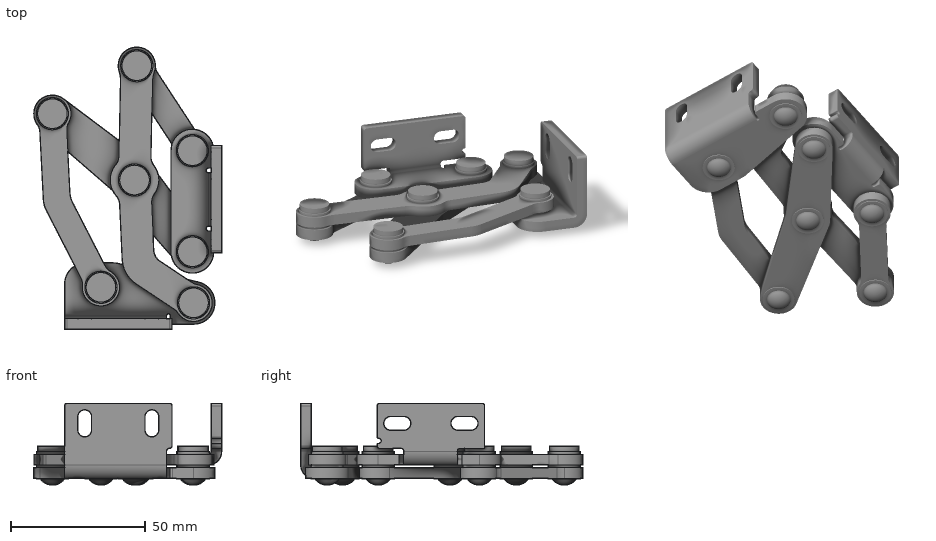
import cadquery as cq
import math


sheet = 4.0
gap = 1.0
upper_z = sheet + gap

pin_d = 8.0
collar_d = 12.0
head_d = 11.0
head_height = 2.0
end_collar_height = 0.3
dome_d = 8.8
dome_height = 2.2

end_r = 6.9
hub_r = 9.0
taper_hub_r = 8.3
slim_half_width = 5.0
wide_half_width = 6.0
tight_blend_r = 5.0
wide_blend_r = 10.0
long_elbow_outer_r = 12.0

plate_end_r = 8.0
inner_bend_r = 1.0
outer_bend_r = inner_bend_r + sheet
flange_length = 40.1
flange_top = 28.0
corner_r = 0.9
slot_length = 10.0
slot_width = 5.0
slot_spacing = 25.0
slot_z = flange_top - 7.5
relief_z = 11.1

base_bend_end = 38.1
base_relief_width = 1.3
base_relief_depth = 5.8
base_plate_top = 24.8
base_slope = math.radians(13)
base_corner_r = 0.8

side_flange_y = 28.5
side_flange_x = 58.6
side_bend_start = 9.9
side_bend_end = 29.9
side_relief_width = 1.7
side_relief_depth = 1.8
side_notch_z = 14.0
side_notch_r = 0.9
side_notch_depth = 1.5
side_notch_blend = 0.4

top_pivot = (26.9, 105.1 - end_r)
left_pivot = (-4.5, 80.3)
middle_pivot = (26.1, 55.6)
side_upper_pivot = (47.6, 66.5)
side_lower_pivot = (47.6, 28.9)
base_left_pivot = (13.6, 15.7)
base_right_pivot = (48.0, 9.9)
left_elbow = (-2.8, 47.6)
long_elbow = (27.5, 23.5)


def heading(start, end):
    """Angle in radians of the line from start to end."""
    return math.atan2(end[1] - start[1], end[0] - start[0])


def disc(center, radius, height, z=0.0):
    return cq.Workplane("XY", origin=(*center, z)).circle(radius).extrude(height)


def place(shape, origin, angle):
    """Turn a shape made at the origin along +X to the given angle and move it to origin."""
    return shape.rotate((0, 0, 0), (0, 0, 1), math.degrees(angle)).translate((*origin, 0))


def pin(center):
    """Pin with a domed lower end; its upper collars and head sit on the upper body."""
    x, y = center
    collar_r = collar_d / 2
    head_base = upper_z + sheet + gap
    dome_base = -end_collar_height
    body = disc(center, pin_d / 2, head_base)
    body = body.union(disc(center, collar_r, gap, sheet))
    body = body.union(disc(center, collar_r, gap, upper_z + sheet))
    body = body.union(disc(center, head_d / 2, head_height, head_base))
    body = body.union(disc(center, collar_r, end_collar_height, dome_base))
    sphere_r = ((dome_d / 2) ** 2 + dome_height ** 2) / (2 * dome_height)
    sphere_z = dome_base - dome_height + sphere_r
    ball = cq.Workplane("XY", origin=(x, y, sphere_z)).sphere(sphere_r)
    cap = ball.intersect(disc(center, sphere_r, -dome_height, dome_base))
    return body.union(cap)


def upper_body(shape, pivots):
    """Lift a body to the upper layer and fuse its pins to it."""
    body = shape.translate((0, 0, upper_z))
    for pivot in pivots:
        body = body.union(pin(pivot))
    return body


def lower_body(shape, pivots):
    """Drill the pin holes of a lower-layer body."""
    for pivot in pivots:
        shape = shape.cut(disc(pivot, pin_d / 2, sheet))
    return shape


def eye(pivot, target, radius, half_width, blend_r):
    """Round end at pivot, blended by two concave arcs into an arm running to target."""
    reach = math.sqrt((radius + blend_r) ** 2 - (half_width + blend_r) ** 2)
    blend_v = half_width + blend_r
    share = radius / (radius + blend_r)
    touch_u, touch_v = reach * share, blend_v * share
    mid_angle = (math.atan2(-blend_v, -reach) - math.pi / 2) / 2
    mid_u = reach + blend_r * math.cos(mid_angle)
    mid_v = blend_v + blend_r * math.sin(mid_angle)
    neck = (
        cq.Workplane("XY")
        .lineTo(touch_u, touch_v)
        .threePointArc((mid_u, mid_v), (reach, half_width))
        .lineTo(reach, -half_width)
        .threePointArc((mid_u, -mid_v), (touch_u, -touch_v))
        .close()
        .extrude(sheet)
    )
    return disc(pivot, radius, sheet).union(place(neck, pivot, heading(pivot, target)))


def straight_arm(start, end, half_width):
    length = math.dist(start, end)
    bar = cq.Workplane("XY").rect(length, 2 * half_width).extrude(sheet)
    return place(bar.translate((length / 2, 0, 0)), start, heading(start, end))


def elbow_arm(start, elbow, end, half_width, inner_r, outer_r):
    """Arm of constant width that turns left at the elbow, with both corners rounded."""
    first, second = heading(start, elbow), heading(elbow, end)
    bisector = (first + second) / 2
    miter = half_width / math.cos((second - first) / 2)

    def aside(point, angle, distance):
        return (point[0] - distance * math.sin(angle), point[1] + distance * math.cos(angle))

    inner_corner = aside(elbow, bisector, miter)
    outer_corner = aside(elbow, bisector, -miter)
    outline = [
        aside(start, first, half_width),
        inner_corner,
        aside(end, second, half_width),
        aside(end, second, -half_width),
        outer_corner,
        aside(start, first, -half_width),
    ]
    arm = cq.Workplane("XY").polyline(outline).close().extrude(sheet)
    for corner, radius in ((inner_corner, inner_r), (outer_corner, outer_r)):
        arm = arm.edges(cq.NearestToPointSelector((*corner, sheet / 2))).fillet(radius)
    return arm


def tapered_arm(end, hub):
    """Round end and larger hub joined by their outer tangents."""
    length = math.dist(end, hub)
    lean = math.asin((taper_hub_r - end_r) / length)
    end_u, end_v = -end_r * math.sin(lean), end_r * math.cos(lean)
    hub_u, hub_v = length - taper_hub_r * math.sin(lean), taper_hub_r * math.cos(lean)
    outline = [(end_u, end_v), (hub_u, hub_v), (hub_u, -hub_v), (end_u, -end_v)]
    bar = cq.Workplane("XY").polyline(outline).close().extrude(sheet)
    arm = place(bar, end, heading(end, hub))
    return arm.union(disc(end, end_r, sheet)).union(disc(hub, taper_hub_r, sheet))


def make_left_link():
    link = elbow_arm(left_pivot, left_elbow, base_left_pivot, slim_half_width, wide_blend_r, wide_blend_r)
    for pivot in (left_pivot, base_left_pivot):
        link = link.union(eye(pivot, left_elbow, end_r, slim_half_width, tight_blend_r))
    return upper_body(link, (left_pivot, base_left_pivot))


def make_long_link():
    link = straight_arm(top_pivot, middle_pivot, wide_half_width)
    bent_arm = elbow_arm(
        middle_pivot, long_elbow, base_right_pivot, wide_half_width, tight_blend_r, long_elbow_outer_r
    )
    link = link.union(bent_arm)
    link = link.union(eye(top_pivot, middle_pivot, end_r, wide_half_width, wide_blend_r))
    for target in (top_pivot, long_elbow):
        link = link.union(eye(middle_pivot, target, hub_r, wide_half_width, tight_blend_r))
    link = link.union(eye(base_right_pivot, long_elbow, end_r, wide_half_width, tight_blend_r))
    return upper_body(link, (top_pivot, middle_pivot, base_right_pivot))


def make_short_link():
    link = straight_arm(top_pivot, side_upper_pivot, slim_half_width)
    link = link.union(eye(top_pivot, side_upper_pivot, end_r, slim_half_width, tight_blend_r))
    link = link.union(eye(side_upper_pivot, top_pivot, end_r, slim_half_width, tight_blend_r))
    return lower_body(link, (top_pivot, side_upper_pivot))


def make_tapered_link():
    link = tapered_arm(left_pivot, middle_pivot).union(tapered_arm(side_lower_pivot, middle_pivot))
    left_heading = heading(middle_pivot, left_pivot)
    lower_heading = heading(middle_pivot, side_lower_pivot) + 2 * math.pi
    inner_side = (left_heading + lower_heading) / 2
    inner_x = middle_pivot[0] + taper_hub_r * math.cos(inner_side)
    inner_y = middle_pivot[1] + taper_hub_r * math.sin(inner_side)
    inner_corner = cq.NearestToPointSelector((inner_x, inner_y, sheet / 2))
    link = link.edges(inner_corner).fillet(wide_blend_r)
    return lower_body(link, (left_pivot, middle_pivot, side_lower_pivot))


def bend(start, end):
    """Quarter-round strip joining plate and flange between two places along X."""
    middle = math.sqrt(0.5)
    outer_mid = outer_bend_r * (1 - middle)
    inner_mid = outer_bend_r - inner_bend_r * middle
    return (
        cq.Workplane("YZ", origin=(start, 0, 0))
        .moveTo(0, outer_bend_r)
        .threePointArc((outer_mid, outer_mid), (outer_bend_r, 0))
        .lineTo(outer_bend_r, sheet)
        .threePointArc((inner_mid, inner_mid), (sheet, outer_bend_r))
        .close()
        .extrude(end - start)
    )


def block(x_range, y_range, z_range):
    """Box spanning the three (low, high) ranges."""
    sizes = [high - low for low, high in (x_range, y_range, z_range)]
    corner = (x_range[0], y_range[0], z_range[0])
    return cq.Workplane("XY").box(*sizes, centered=False).translate(corner)


def round_upright(shape, x, z, radius):
    """Round the flange edge that runs through the sheet at x, z."""
    return shape.edges(cq.NearestToPointSelector((x, sheet / 2, z))).fillet(radius)


def slotted_flange(bottom, top, slot_height, slot_angle):
    flange = block((0, flange_length), (0, sheet), (bottom, top))
    for x in (0, flange_length):
        flange = round_upright(flange, x, top, corner_r)
    slots = (
        cq.Workplane("XZ", origin=(flange_length / 2, 0, slot_height))
        .rarray(slot_spacing, 1, 2, 1)
        .slot2D(slot_length, slot_width, slot_angle)
        .extrude(-sheet)
    )
    return flange.cut(slots)


def base_flange():
    flange = slotted_flange(outer_bend_r, flange_top, slot_z, 90)
    relief = block((base_bend_end, flange_length), (0, sheet), (outer_bend_r, relief_z))
    flange = flange.cut(relief)
    for x in (base_bend_end, flange_length):
        flange = round_upright(flange, x, relief_z, corner_r)
    return flange


def base_plate():
    center_x, center_y = base_right_pivot
    bottom = center_y - plate_end_r
    relief_r = base_relief_width / 2
    relief_right = base_bend_end + base_relief_width
    relief_shoulder = base_relief_depth - relief_r
    tangent_x = center_x + plate_end_r * math.sin(base_slope)
    tangent_y = center_y + plate_end_r * math.cos(base_slope)
    peak_x = tangent_x - (base_plate_top - tangent_y) / math.tan(base_slope)
    plate = (
        cq.Workplane("XY")
        .moveTo(0, outer_bend_r)
        .lineTo(base_bend_end, outer_bend_r)
        .lineTo(base_bend_end, relief_shoulder)
        .threePointArc((base_bend_end + relief_r, base_relief_depth), (relief_right, relief_shoulder))
        .lineTo(relief_right, bottom)
        .lineTo(center_x, bottom)
        .threePointArc((center_x + plate_end_r, center_y), (tangent_x, tangent_y))
        .lineTo(peak_x, base_plate_top)
        .lineTo(0, base_plate_top)
        .close()
        .extrude(sheet)
    )
    rounded = (
        (0, base_plate_top, plate_end_r),
        (peak_x, base_plate_top, plate_end_r),
        (relief_right, bottom, base_corner_r),
    )
    for x, y, radius in rounded:
        plate = plate.edges(cq.NearestToPointSelector((x, y, sheet / 2))).fillet(radius)
    return plate


def make_base_bracket():
    bracket = base_plate().union(bend(0, base_bend_end)).union(base_flange())
    return lower_body(bracket, (base_left_pivot, base_right_pivot))


def side_flange():
    """Flange and bend of the side bracket, with a round notch near the lower front corner."""
    bottom = relief_z - upper_z
    notch_z = side_notch_z - upper_z
    flange = slotted_flange(bottom, flange_top - upper_z, slot_z - upper_z, 0)
    flange = round_upright(flange, 0, bottom, corner_r)
    notch_x = side_notch_depth - side_notch_r
    notch_z_range = (notch_z - side_notch_r, notch_z + side_notch_r)
    notch_end = cq.Workplane("XZ", origin=(notch_x, 0, notch_z)).circle(side_notch_r).extrude(-sheet)
    flange = flange.cut(block((0, notch_x), (0, sheet), notch_z_range).union(notch_end))
    for z in notch_z_range:
        flange = round_upright(flange, 0, z, side_notch_blend)
    web = block((side_bend_start, side_bend_end), (0, sheet), (outer_bend_r, bottom))
    flange = flange.union(web).union(bend(side_bend_start, side_bend_end))
    for x in (side_bend_start, side_bend_end):
        flange = round_upright(flange, x, bottom, corner_r)
    return flange


def side_plate():
    plate = straight_arm(side_lower_pivot, side_upper_pivot, plate_end_r)
    for pivot in (side_lower_pivot, side_upper_pivot):
        plate = plate.union(disc(pivot, plate_end_r, sheet))
    bend_x = side_flange_x - outer_bend_r
    bend_y = (side_flange_y + side_bend_start, side_flange_y + side_bend_end)
    plate = plate.cut(block((bend_x, side_flange_x), bend_y, (0, sheet)))
    relief_r = side_relief_width / 2
    relief_x = side_flange_x - sheet - side_relief_depth + relief_r
    for y in (bend_y[0] - relief_r, bend_y[1] + relief_r):
        channel = block((relief_x, side_flange_x), (y - relief_r, y + relief_r), (0, sheet))
        plate = plate.cut(channel.union(disc((relief_x, y), relief_r, sheet)))
    return plate


def make_side_bracket():
    flange = place(side_flange(), (side_flange_x, side_flange_y), math.pi / 2)
    return upper_body(side_plate().union(flange), (side_upper_pivot, side_lower_pivot))


base_bracket = make_base_bracket()
side_bracket = make_side_bracket()
left_link = make_left_link()
long_link = make_long_link()
short_link = make_short_link()
tapered_link = make_tapered_link()

result = cq.Compound.makeCompound([
    base_bracket.val(),
    side_bracket.val(),
    left_link.val(),
    long_link.val(),
    short_link.val(),
    tapered_link.val(),
])